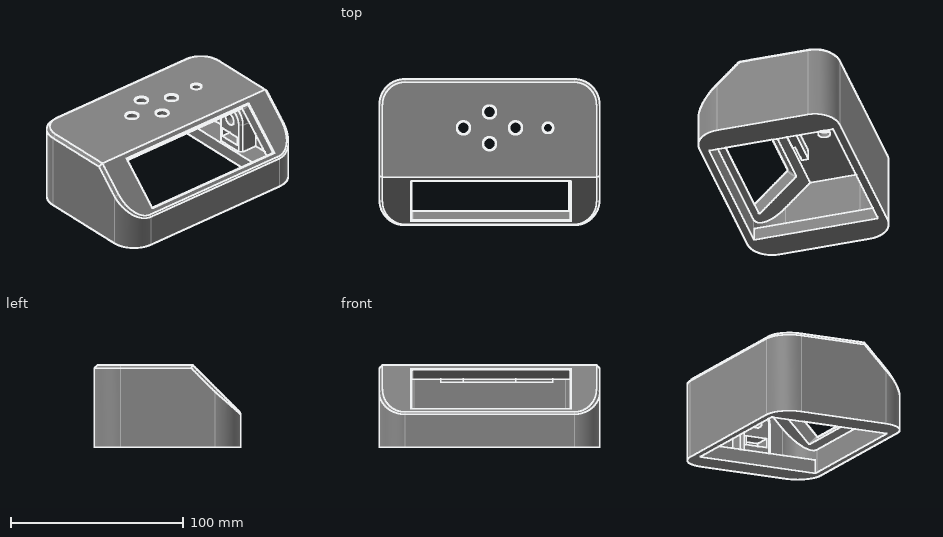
import cadquery as cq
import math

LENGTH = 128.0
DEPTH = 85.0
HEIGHT = 47.9
CORNER_RADIUS = 15.0
SLOPE_TOP_Y = -14.6
SLOPE_ANGLE = 45.0
EDGE_CHAMFER = 1.9

WALL = 5.0
TOP_WALL = 4.0
CAVITY_RADIUS = 15.0
SLOPE_WALL = 8.0

WINDOW_LENGTH = 92.2
WINDOW_HEIGHT = 31.7
WINDOW_X = 0.9
WINDOW_Y = -28.4
WINDOW_RADIUS = 0.6
RIM_CHAMFER = 0.5
RIM_TAPER = 45.0

BUTTON_DIAMETER = 7.0
CROSS_Y = 14.1
CROSS_HALF_LENGTH = 15.1
CROSS_HALF_DEPTH = 9.2
INDICATOR_DIAMETER = 5.5
INDICATOR_X = 33.9

RIB_LEFT = -28.3
RIB_RIGHT = 36.7
RIB_BOTTOM = 37.8
RIB_FRONT = -5.1
RIB_BACK = 0.6
RIB_LEAN_ANGLE = 13.0

LEDGE_WIDTH = 13.0
LEDGE_HEIGHT = 8.0

LUG_INSET = 1.5
LUG_WIDTH = 19.5
LUG_AXIS_RISE = 18.4
LUG_CHAMFER = 1.8
LUG_HOLE_DIAMETER = 7.2
SLOT_WIDTH = 13.3
SLOT_HEIGHT = 5.4
SLOT_RISE = 3.8

OVERLAP = 1.3
CORNER_SECTIONS = 9
CAVITY_HALF_LENGTH = LENGTH / 2 - WALL
CEILING = HEIGHT - TOP_WALL
SLOPE_SIN = math.sin(math.radians(SLOPE_ANGLE))
SLOPE_COS = math.cos(math.radians(SLOPE_ANGLE))
SLOPE_TAN = math.tan(math.radians(SLOPE_ANGLE))


def slope_z(y):
    """Height of the slope plane at a given Y."""
    return HEIGHT + (y - SLOPE_TOP_Y) * SLOPE_TAN


def rounded_block(inset, radius, height):
    """Block with rounded upright edges, standing on Z = 0 and inset from the outer walls."""
    plan = cq.Workplane("XY").rect(LENGTH - 2 * inset, DEPTH - 2 * inset)
    return plan.extrude(height).edges("|Z").fillet(radius)


def space_above_slope(depth):
    """Everything in front of a plane parallel to the slope, sunk below it by depth."""
    drop = depth / SLOPE_COS
    front, back = -DEPTH, DEPTH
    top = slope_z(back) - drop
    profile = [(front, slope_z(front) - drop), (back, top), (front, top)]
    return cq.Workplane("YZ").polyline(profile).close().extrude(LENGTH, both=True)


def chamfer_section(center_x, center_y, angle):
    """Triangle cut off the slope rim where the wall faces angle, turned from +X toward -Y.

    The chamfer joins the points where a ball of radius EDGE_CHAMFER touches the wall and the slope.
    """
    out_x = math.cos(math.radians(angle))
    out_y = -math.sin(math.radians(angle))

    def point(radius, z):
        return cq.Vector(center_x + radius * out_x, center_y + radius * out_y, z)

    ball_radius = CORNER_RADIUS - EDGE_CHAMFER
    ball_z = slope_z(center_y + ball_radius * out_y) - EDGE_CHAMFER / SLOPE_COS
    to_slope = cq.Vector(0, -SLOPE_SIN, SLOPE_COS) * EDGE_CHAMFER
    on_wall = point(CORNER_RADIUS, ball_z)
    on_slope = point(ball_radius, ball_z) + to_slope
    rim_z = slope_z(center_y + CORNER_RADIUS * out_y)
    outside = point(CORNER_RADIUS + OVERLAP, rim_z + OVERLAP)
    return cq.Wire.makePolygon([on_wall, on_slope, outside], close=True)


def slope_rim_cutters():
    """Chamfer cutters along the right half of the slope rim: side, corner and front."""
    center_x = LENGTH / 2 - CORNER_RADIUS
    center_y = CORNER_RADIUS - DEPTH / 2
    angles = [90.0 * i / (CORNER_SECTIONS - 1) for i in range(CORNER_SECTIONS)]
    corner = [chamfer_section(center_x, center_y, angle) for angle in angles]
    side_end = chamfer_section(center_x, SLOPE_TOP_Y + 2 * EDGE_CHAMFER, 0)
    front_end = chamfer_section(0, center_y, 90)
    return [
        cq.Solid.makeLoft([side_end, corner[0]], True),
        cq.Solid.makeLoft(corner),
        cq.Solid.makeLoft([corner[-1], front_end], True),
    ]


def outer_body():
    body = rounded_block(0, CORNER_RADIUS, HEIGHT).faces(">Z").edges().chamfer(EDGE_CHAMFER)
    body = body.cut(space_above_slope(0))
    for cutter in slope_rim_cutters():
        right_half = cq.Workplane(cutter)
        body = body.cut(right_half).cut(right_half.mirror("YZ"))
    return body


def cavity():
    return rounded_block(WALL, CAVITY_RADIUS, CEILING).cut(space_above_slope(SLOPE_WALL))


def window():
    """Cutter for the window, with its outer rim chamfered."""
    plane = cq.Plane(
        origin=(WINDOW_X, WINDOW_Y, slope_z(WINDOW_Y)),
        xDir=(1, 0, 0),
        normal=(0, -SLOPE_SIN, SLOPE_COS),
    )
    opening = cq.Workplane(plane).rect(WINDOW_LENGTH, WINDOW_HEIGHT).extrude(-SLOPE_WALL - OVERLAP)
    opening = opening.edges(cq.selectors.ParallelDirSelector(plane.zDir)).fillet(WINDOW_RADIUS)
    rim = cq.Workplane(plane).rect(WINDOW_LENGTH + 2 * RIM_CHAMFER, WINDOW_HEIGHT + 2 * RIM_CHAMFER)
    return opening.union(rim.extrude(-RIM_CHAMFER, taper=RIM_TAPER))


def top_hole(x, y, diameter):
    """Cutter for a hole through the top, chamfered at its upper rim."""
    top = cq.Workplane("XY", origin=(x, y, HEIGHT))
    hole = top.circle(diameter / 2).extrude(-TOP_WALL - OVERLAP)
    rim = top.circle(diameter / 2 + RIM_CHAMFER)
    return hole.union(rim.extrude(-RIM_CHAMFER, taper=RIM_TAPER))


def rib_stretch(left, right, lean_angle):
    """Length of the rib whose front leans back toward its bottom."""
    top = CEILING + OVERLAP
    lean = (top - RIB_BOTTOM) * math.tan(math.radians(lean_angle))
    profile = [(RIB_FRONT, top), (RIB_FRONT + lean, RIB_BOTTOM), (RIB_BACK, RIB_BOTTOM), (RIB_BACK, top)]
    return cq.Workplane("YZ", origin=(left, 0, 0)).polyline(profile).close().extrude(right - left)


def rib():
    left_end = rib_stretch(RIB_LEFT, -CROSS_HALF_LENGTH, RIB_LEAN_ANGLE)
    middle = rib_stretch(-CROSS_HALF_LENGTH, CROSS_HALF_LENGTH, 0)
    right_end = rib_stretch(CROSS_HALF_LENGTH, RIB_RIGHT, RIB_LEAN_ANGLE)
    return middle.union(left_end).union(right_end)


def ledges():
    """Solid strips along both side walls, filling the lower cavity beside a central opening."""
    opening_length = 2 * (CAVITY_HALF_LENGTH - LEDGE_WIDTH)
    opening = cq.Workplane("XY").rect(opening_length, DEPTH).extrude(LEDGE_HEIGHT)
    return rounded_block(WALL, CAVITY_RADIUS, LEDGE_HEIGHT).cut(opening)


def lug():
    """Round-topped block with a chamfered inner face, pierced by a hole and a slot along X."""
    inner_x = CAVITY_HALF_LENGTH - LEDGE_WIDTH + LUG_INSET
    thickness = CAVITY_HALF_LENGTH - inner_x
    plane = cq.Workplane("YZ", origin=(inner_x, 0, LEDGE_HEIGHT))
    block = (
        plane.moveTo(-LUG_WIDTH / 2, 0)
        .lineTo(-LUG_WIDTH / 2, LUG_AXIS_RISE)
        .threePointArc((0, LUG_AXIS_RISE + LUG_WIDTH / 2), (LUG_WIDTH / 2, LUG_AXIS_RISE))
        .lineTo(LUG_WIDTH / 2, 0)
        .close()
        .extrude(thickness)
    )
    block = block.faces("<X").edges("not <Z").chamfer(LUG_CHAMFER)
    hole = plane.center(0, LUG_AXIS_RISE).circle(LUG_HOLE_DIAMETER / 2).extrude(thickness)
    slot = plane.center(0, SLOT_RISE + SLOT_HEIGHT / 2).rect(SLOT_WIDTH, SLOT_HEIGHT).extrude(thickness)
    return block.cut(hole).cut(slot)


result = outer_body().cut(cavity()).cut(window())
result = result.union(rib()).union(ledges()).union(lug())

button_places = [
    (-CROSS_HALF_LENGTH, CROSS_Y),
    (CROSS_HALF_LENGTH, CROSS_Y),
    (0, CROSS_Y - CROSS_HALF_DEPTH),
    (0, CROSS_Y + CROSS_HALF_DEPTH),
]
for button_x, button_y in button_places:
    result = result.cut(top_hole(button_x, button_y, BUTTON_DIAMETER))
result = result.cut(top_hole(INDICATOR_X, CROSS_Y, INDICATOR_DIAMETER))